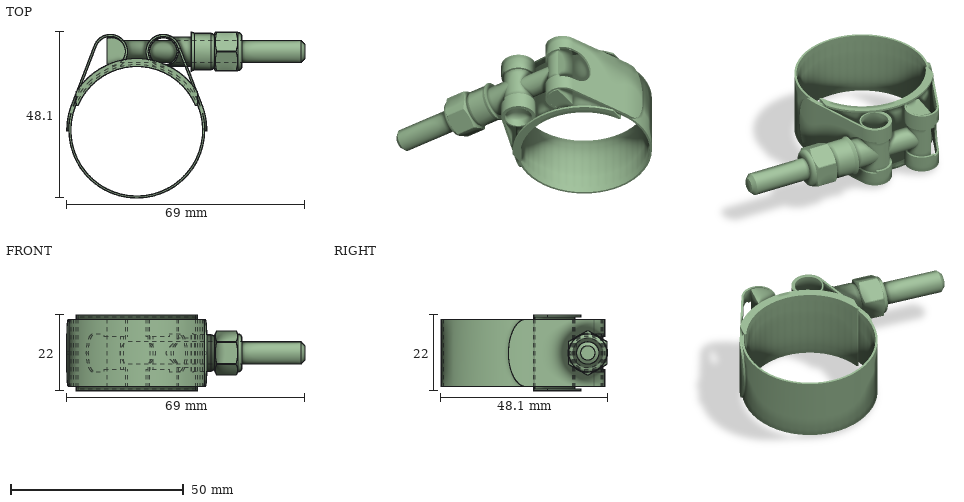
import cadquery as cq
import math


band_thickness = 0.6
band_outer_radius = 19.65
band_inner_radius = band_outer_radius - band_thickness
overlap_outer_radius = band_outer_radius + band_thickness
band_width = 19.45
end_tongue_length = 5.05
end_tongue_tip = -0.2
outer_slot_width = 11.05
outer_slot_bottom = 18.5
inner_slot_width = 9.65
slot_step_offset = 1.8

trunnion_x = 7.65
bolt_axis_y = 22.75
centre_distance = math.hypot(trunnion_x, bolt_axis_y)
loop_inner_radius = centre_distance - band_outer_radius
loop_outer_radius = loop_inner_radius + band_thickness
tube_wall = 0.4

head_radius = 4.1
head_flat_x = -8.6
head_axis_x = -(trunnion_x - loop_inner_radius + head_radius)
bolt_radius = 3.25
bolt_tip_x = 48.7
bolt_chamfer = 1.2

sleeve_radius = 4.3
collar_start_x = 15.65
collar_end_x = 22.55
collar_radius = 5.3
lip_radius = 5.7
lip_thickness = 0.15
lip_flare_length = 1.05
collar_chamfer_length = 1.05
collar_chamfer_depth = 0.5

nut_across_flats = 11.25
nut_corner_radius = 6.4
hex_end_x = 29.25
nut_end_x = 30.4
nut_dome_radius = 5.5
nut_face_radius = 5.25
nut_front_chamfer = 0.55
nut_back_chamfer = 0.5

saddle_thickness = 0.6
saddle_width = 22.0
saddle_outer_radius = 20.75
saddle_half_span = 17.5
saddle_bottom_y = 7.1
saddle_inner_radius = band_inner_radius - saddle_thickness

trunnion_angle = math.degrees(math.atan2(bolt_axis_y, -trunnion_x))
strap_angle = trunnion_angle + math.degrees(
    math.acos((band_outer_radius - loop_inner_radius) / centre_distance)
)


def polar(radius, angle, centre=(0, 0)):
    """XY point at a radius and an angle in degrees around a centre."""
    a = math.radians(angle)
    return (centre[0] + radius * math.cos(a), centre[1] + radius * math.sin(a))


def arc_strip(inner, outer, start, end, centre=(0, 0)):
    """Curved strip of the band between two radii and two angles."""
    middle = (start + end) / 2
    return (
        cq.Workplane("XY")
        .moveTo(*polar(inner, start, centre))
        .threePointArc(polar(inner, middle, centre), polar(inner, end, centre))
        .lineTo(*polar(outer, end, centre))
        .threePointArc(polar(outer, middle, centre), polar(outer, start, centre))
        .close()
        .extrude(band_width / 2, both=True)
    )


def xy_box(start_x, end_x, start_y, end_y, width):
    """Box between two X and two Y positions, centred in Z."""
    return (
        cq.Workplane("XY")
        .center((start_x + end_x) / 2, (start_y + end_y) / 2)
        .rect(end_x - start_x, end_y - start_y)
        .extrude(width / 2, both=True)
    )


def x_cylinder(radius, start_x, end_x):
    """Cylinder on the bolt axis."""
    return (
        cq.Workplane("YZ", origin=(start_x, bolt_axis_y, 0))
        .circle(radius)
        .extrude(end_x - start_x)
    )


def z_cylinder(radius, centre_x):
    """Cylinder on a trunnion axis, as long as the band is wide."""
    return (
        cq.Workplane("XY")
        .center(centre_x, bolt_axis_y)
        .circle(radius)
        .extrude(band_width / 2, both=True)
    )


def overlap_tongue():
    """Free end of the band lying on the ring, with an elliptical tip."""
    tip_angle = 180 - math.degrees(math.asin(end_tongue_tip / overlap_outer_radius))
    layer = arc_strip(band_outer_radius, overlap_outer_radius, strap_angle, tip_angle)
    tongue_root = end_tongue_tip + end_tongue_length
    tip_shape = (
        cq.Workplane("YZ")
        .center(tongue_root, 0)
        .ellipse(end_tongue_length, band_width / 2)
        .extrude(-2 * band_outer_radius)
    )
    root_shape = xy_box(-overlap_outer_radius, 0, tongue_root, overlap_outer_radius, band_width)
    return layer.intersect(tip_shape.union(root_shape))


def loop_window():
    """Window of one loop: round-ended on the sloping strap, narrower around the bolt."""
    slot_radius = outer_slot_width / 2
    loop_top = bolt_axis_y + loop_outer_radius
    normal_x, normal_y = polar(1, strap_angle)
    slot_end_y = outer_slot_bottom - slot_radius * normal_x
    slot_end_x = (overlap_outer_radius - slot_end_y * normal_y) / normal_x
    strap_plane = cq.Plane(
        origin=(slot_end_x, slot_end_y, 0),
        xDir=(-normal_y, normal_x, 0),
        normal=(normal_x, normal_y, 0),
    )
    round_end = cq.Workplane(strap_plane).circle(slot_radius).extrude(2 * band_thickness, both=True)
    step_x = -trunnion_x - slot_step_offset
    outer_run = xy_box(step_x - loop_outer_radius, step_x, slot_end_y, loop_top, outer_slot_width)
    inner_run = xy_box(step_x, 0, bolt_axis_y - bolt_radius, loop_top, inner_slot_width)
    return round_end.union(outer_run).union(inner_run)


def make_loop():
    """Left-hand loop: around the trunnion, down the sloping strap, onto the ring."""
    centre = (-trunnion_x, bolt_axis_y)
    bend = arc_strip(loop_inner_radius, loop_outer_radius, trunnion_angle - 180, strap_angle, centre)
    strap = (
        cq.Workplane("XY")
        .polyline([
            polar(band_outer_radius, strap_angle),
            polar(loop_inner_radius, strap_angle, centre),
            polar(loop_outer_radius, strap_angle, centre),
            polar(overlap_outer_radius, strap_angle),
        ])
        .close()
        .extrude(band_width / 2, both=True)
    )
    return bend.union(strap).cut(loop_window()).union(overlap_tongue())


def make_band():
    """Open ring with a mirrored loop at each end."""
    far_angle = 360 + (180 - trunnion_angle)
    ring = arc_strip(band_inner_radius, band_outer_radius, trunnion_angle, far_angle)
    loop = make_loop()
    return ring.union(loop).union(loop.mirror("YZ"))


def make_saddle():
    """Curved channel inside the band; its flanges stand beside the band edges."""
    blank = (
        cq.Workplane("XY")
        .circle(saddle_outer_radius)
        .circle(saddle_inner_radius)
        .extrude(saddle_width / 2, both=True)
    )
    extent = xy_box(
        -saddle_half_span, saddle_half_span, saddle_bottom_y, saddle_outer_radius, saddle_width
    )
    channel = (
        cq.Workplane("XY")
        .circle(saddle_outer_radius)
        .circle(band_inner_radius)
        .extrude(saddle_width / 2 - saddle_thickness, both=True)
    )
    return blank.intersect(extent).cut(channel)


def make_t_bolt():
    """Bolt whose cross head is a cylinder with a flat on its outer side."""
    shank = x_cylinder(bolt_radius, head_axis_x, bolt_tip_x).faces(">X").chamfer(bolt_chamfer)
    head = z_cylinder(head_radius, head_axis_x)
    kept_side = xy_box(
        head_flat_x, head_axis_x + head_radius,
        bolt_axis_y - head_radius, bolt_axis_y + head_radius, band_width,
    )
    return head.intersect(kept_side).union(shank)


def make_trunnion_tube():
    """Hollow trunnion in the right-hand loop, cross-drilled for the bolt."""
    tube = z_cylinder(loop_inner_radius, trunnion_x).cut(
        z_cylinder(loop_inner_radius - tube_wall, trunnion_x)
    )
    return tube.cut(x_cylinder(bolt_radius, 0, collar_start_x))


def make_sleeve():
    """Spacer between the hollow trunnion and the nut, with a lipped collar."""
    barrel = x_cylinder(sleeve_radius, trunnion_x, collar_end_x)
    barrel = barrel.cut(z_cylinder(loop_inner_radius, trunnion_x))
    collar_profile = [
        (collar_start_x, 0),
        (collar_start_x, lip_radius),
        (collar_start_x + lip_thickness, lip_radius),
        (collar_start_x + lip_flare_length, collar_radius),
        (collar_end_x - collar_chamfer_length, collar_radius),
        (collar_end_x, collar_radius - collar_chamfer_depth),
        (collar_end_x, 0),
    ]
    collar = (
        cq.Workplane("XY", origin=(0, bolt_axis_y, 0))
        .polyline(collar_profile)
        .close()
        .revolve(360, (0, 0, 0), (1, 0, 0))
    )
    return barrel.union(collar).cut(x_cylinder(bolt_radius, 0, collar_end_x))


def make_nut():
    """Lock nut: hexagon with corners towards +Z and -Z, and a round domed end."""
    across_corners = nut_across_flats / math.cos(math.radians(30))
    hexagon = (
        cq.Workplane("YZ", origin=(collar_end_x, bolt_axis_y, 0))
        .polygon(6, across_corners)
        .extrude(hex_end_x - collar_end_x)
        .rotate((0, bolt_axis_y, 0), (1, bolt_axis_y, 0), 90)
    )
    corner_trim = x_cylinder(nut_corner_radius, collar_end_x, hex_end_x)
    corner_trim = corner_trim.faces("<X").chamfer(nut_front_chamfer, nut_corner_radius - nut_face_radius)
    corner_trim = corner_trim.faces(">X").chamfer(nut_back_chamfer, nut_corner_radius - nut_dome_radius)
    dome = x_cylinder(nut_dome_radius, collar_end_x + nut_front_chamfer, nut_end_x)
    dome = dome.faces(">X").edges().fillet(nut_end_x - hex_end_x)
    nut = hexagon.intersect(corner_trim).union(dome)
    return nut.cut(x_cylinder(bolt_radius, collar_end_x, nut_end_x))


band = make_band()
saddle = make_saddle()
t_bolt = make_t_bolt()
trunnion_tube = make_trunnion_tube()
sleeve = make_sleeve()
nut = make_nut()

result = cq.Compound.makeCompound([
    band.solids().val(),
    saddle.solids().val(),
    t_bolt.solids().val(),
    trunnion_tube.solids().val(),
    sleeve.solids().val(),
    nut.solids().val(),
])